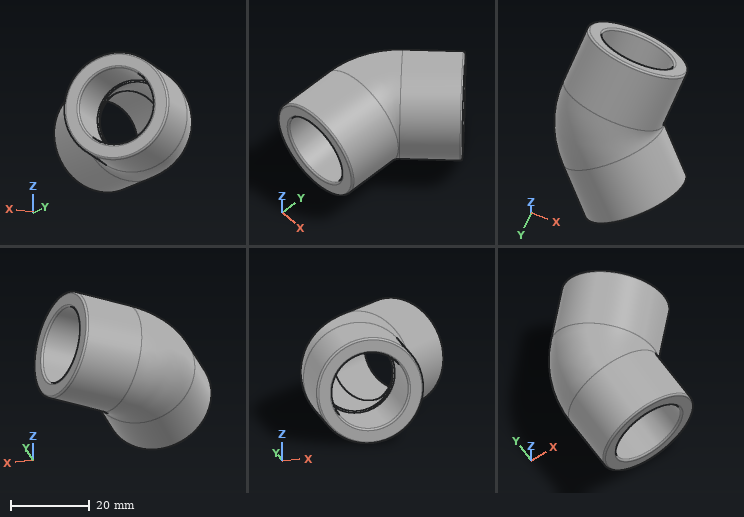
import cadquery as cq
import math

outer_diameter = 28.0
socket_diameter = 20.0
bend_bore_diameter = 19.0
socket_length = 16.0
bend_radius = 14.4
bend_angle = 45.0
rim_radius = 0.5


def make_bend(diameter):
    """Solid bend that starts at the origin along +Y and turns towards +X."""
    pivot = (bend_radius, 0)
    pivot_axis_end = (bend_radius, -1)
    return cq.Workplane("XZ").circle(diameter / 2).revolve(bend_angle, pivot, pivot_axis_end)


def make_socket(origin, direction):
    """Straight socket from a bend end to its open rim, with both rim edges rounded."""
    bend_end = cq.Plane(origin=origin, xDir=(0, 0, 1), normal=direction)
    tube = (
        cq.Workplane(bend_end)
        .circle(outer_diameter / 2)
        .circle(socket_diameter / 2)
        .extrude(socket_length)
    )
    rim = tube.faces(cq.selectors.DirectionMinMaxSelector(cq.Vector(*direction)))
    return rim.edges().fillet(rim_radius)


angle = math.radians(bend_angle)
angled_end = (bend_radius * (1 - math.cos(angle)), bend_radius * math.sin(angle), 0)
angled_direction = (math.sin(angle), math.cos(angle), 0)

bend = make_bend(outer_diameter).cut(make_bend(bend_bore_diameter))
straight_socket = make_socket((0, 0, 0), (0, -1, 0))
angled_socket = make_socket(angled_end, angled_direction)

result = bend.union(straight_socket).union(angled_socket)